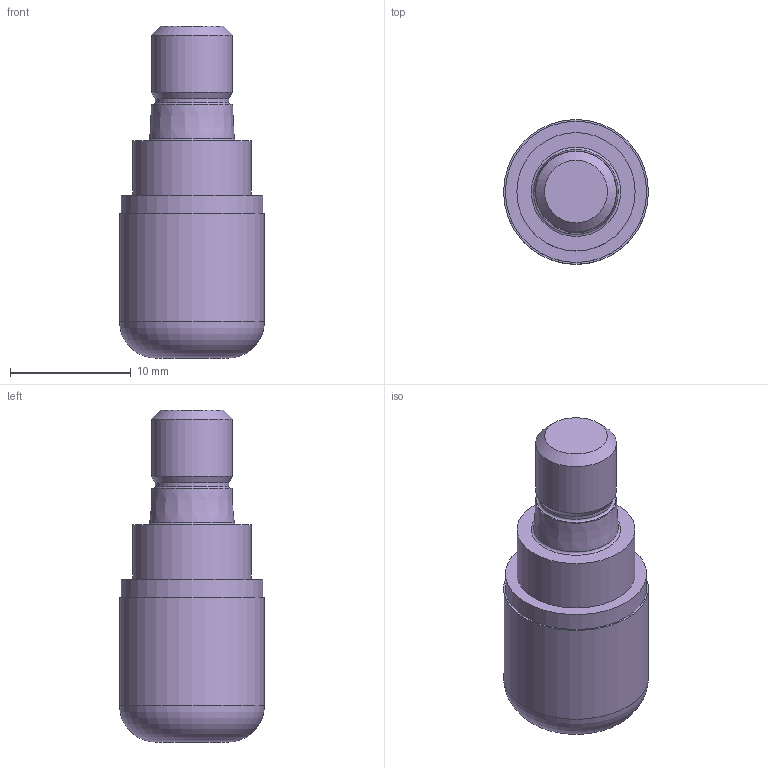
import cadquery as cq
import math


cap_radius = 6.0
cap_height = 12.0
cap_rounding = 3.0

flange_radius = 5.85
flange_height = 1.5
collar_radius = 4.9
collar_height = 4.5

seat_base_radius = 3.5
seat_height = 3.0
relief_fillet = 0.2

tip_radius = 3.35
tip_height = 5.5
tip_chamfer = 0.75
neck_radius = 3.05
neck_height = 1.0
neck_taper_angle = 30.0

flange_top = cap_height + flange_height
collar_top = flange_top + collar_height
seat_top = collar_top + seat_height
tip_bottom = seat_top + neck_height
tip_top = tip_bottom + tip_height
neck_taper_height = (tip_radius - neck_radius) / math.tan(math.radians(neck_taper_angle))

fillet_middle = relief_fillet * (1 - math.sqrt(0.5))


def add_relief_fillet(outline, wall_radius, floor_level):
    """Continue an outline along a floor and up a concave quarter round to a wall."""
    return (
        outline.lineTo(wall_radius + relief_fillet, floor_level)
        .threePointArc(
            (wall_radius + fillet_middle, floor_level + fillet_middle),
            (wall_radius, floor_level + relief_fillet),
        )
    )


def make_cap():
    """Solid cylinder with a rounded lower end and a flat top."""
    return (
        cq.Workplane("XY")
        .circle(cap_radius)
        .extrude(cap_height)
        .faces("<Z")
        .edges()
        .fillet(cap_rounding)
    )


def make_stud():
    """Stepped stud standing on the cap: flange, collar, tapered seat, neck and tip."""
    outline = (
        cq.Workplane("XZ")
        .moveTo(0, cap_height)
        .lineTo(flange_radius, cap_height)
        .lineTo(flange_radius, flange_top)
        .lineTo(collar_radius, flange_top)
        .lineTo(collar_radius, collar_top)
    )
    outline = add_relief_fillet(outline, seat_base_radius, collar_top)
    outline = outline.lineTo(tip_radius, seat_top)
    outline = add_relief_fillet(outline, neck_radius, seat_top)
    outline = (
        outline.lineTo(neck_radius, tip_bottom - neck_taper_height)
        .lineTo(tip_radius, tip_bottom)
        .lineTo(tip_radius, tip_top - tip_chamfer)
        .lineTo(tip_radius - tip_chamfer, tip_top)
        .lineTo(0, tip_top)
        .close()
    )
    return outline.revolve(360, (0, 0), (0, 1))


cap = make_cap()
stud = make_stud()

result = cq.Compound.makeCompound([cap.val(), stud.val()])